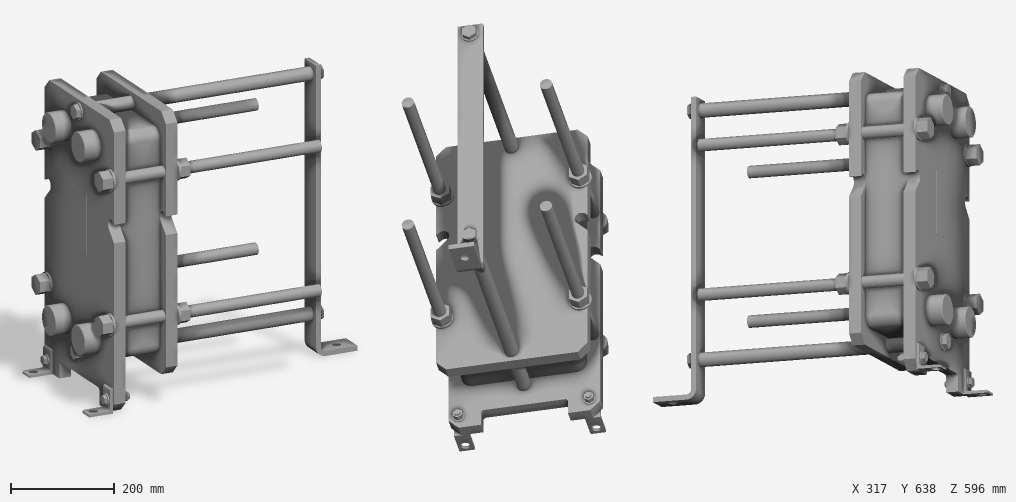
import cadquery as cq
import math


overall_depth = 638.0
overall_height = 596.0
column_back_overhang = 79.0

end_plate_width = 300.0
end_plate_thickness = 25.0
end_plate_chamfer = 20.0
pressure_plate_height = 537.0
fixed_plate_front_y = -268.5

leg_gap_width = 172.0
leg_gap_height = 34.5
leg_gap_fillet = 6.0

hook_radius = 13.0
hook_center_x = 136.5
hook_center_z = 381.0
hook_lip_drop = 6.5

channel_plate_count = 6
channel_stack_depth = 87.0
channel_plate_thickness = channel_stack_depth / channel_plate_count
channel_plate_width = 247.5
channel_plate_height = 462.0
channel_plate_fillet = 22.0

guide_bar_diameter = 28.0
guide_bar_offset_z = 245.5
guide_washer_diameter = 34.0
guide_washer_thickness = 3.0
guide_head_across_flats = 26.0
guide_head_height = 9.5

tie_diameter = 24.0
tie_x = 136.5
tie_offset_z = 147.5
tie_back_end_y = 180.5
tie_washer_diameter = 44.0
tie_hexagon_across_flats = 36.5
tie_washer_thickness = 4.5
tie_hexagon_height = 22.0

port_diameter = 60.5
port_length = 34.5
port_edge_chamfer = 1.0
port_x = 63.0
port_offset_z = 197.0
nameplate_width = 64.5
nameplate_height = 122.5
nameplate_center_z = 351.0
nameplate_thickness = 0.1

column_width = 50.0
column_thickness = 10.0
column_bend_radius = 20.5
mounting_hole_diameter = 18.0
column_hole_setback = 33.0

foot_width = 30.5
foot_x = 129.5
foot_height = 51.0
foot_thickness = 6.0
foot_toe_radius = 4.0
foot_inner_fillet = 4.5
foot_hole_setback = 16.0
foot_bolt_z = 25.5
foot_bolt_diameter = 12.0
foot_bolt_tip = 4.5
foot_washer_diameter = 24.0
foot_washer_thickness = 2.5
foot_head_across_flats = 17.0
foot_head_height = 6.5
foot_nut_height = 10.0

front_end_y = -overall_depth / 2
back_end_y = overall_depth / 2
half_plate_width = end_plate_width / 2
stack_center_z = overall_height - pressure_plate_height / 2
pressure_plate_bottom_z = overall_height - pressure_plate_height
fixed_plate_back_y = fixed_plate_front_y + end_plate_thickness
pressure_plate_front_y = fixed_plate_back_y + channel_stack_depth
pressure_plate_back_y = pressure_plate_front_y + end_plate_thickness
column_back_y = back_end_y - column_back_overhang
column_front_y = column_back_y - column_thickness

guide_bar_places = [(0, stack_center_z + side * guide_bar_offset_z) for side in (-1, 1)]
tie_places = [
    (side_x * tie_x, stack_center_z + side_z * tie_offset_z)
    for side_x in (-1, 1)
    for side_z in (-1, 1)
]
port_places = [
    (side_x * port_x, stack_center_z + side_z * port_offset_z)
    for side_x in (-1, 1)
    for side_z in (-1, 1)
]


def plane_at(y):
    """XZ plane at the given Y, with X right, Z up and its normal toward -Y."""
    return cq.Workplane("XZ", origin=(0, y, 0))


def cylinders(places, diameter, start_y, end_y):
    """Cylinders at the (x, z) places, from start_y to end_y."""
    return plane_at(start_y).pushPoints(places).circle(diameter / 2).extrude(start_y - end_y)


def hexagons(places, across_flats, start_y, end_y):
    """Hexagonal prisms with corners up and down, from start_y to end_y."""
    corner_radius = across_flats / math.sqrt(3)
    corners = [
        (corner_radius * math.sin(math.radians(60 * i)), corner_radius * math.cos(math.radians(60 * i)))
        for i in range(6)
    ]
    prisms = cq.Workplane("XZ")
    for x, z in places:
        outline = plane_at(start_y).center(x, z).polyline(corners).close()
        prisms = prisms.add(outline.extrude(start_y - end_y))
    return prisms


def washer_and_hexagon(places, face_y, direction, washer_size, washer_height, across_flats, height):
    """Washers on the face at face_y with a bolt head or nut on top; direction is -1 or 1 along Y."""
    washer_y = face_y + direction * washer_height
    washers = cylinders(places, washer_size, face_y, washer_y)
    heads = hexagons(places, across_flats, washer_y, washer_y + direction * height)
    return washers.add(heads)


def hook_notch(front_y):
    """Cutter for the hook notch in the -X edge: a round seat, a lip above and a 45 degree ramp below."""
    diagonal = hook_radius * math.sqrt(0.5)
    lip_rise = hook_radius - hook_lip_drop
    lip_reach = math.sqrt(hook_radius**2 - lip_rise**2)
    lip_z = hook_center_z + lip_rise
    outside_x = -half_plate_width - 6.5
    ramp_top_x = -hook_center_x + diagonal
    ramp_top_z = hook_center_z - diagonal
    ramp_bottom_z = ramp_top_z - (ramp_top_x - outside_x)
    return (
        plane_at(front_y)
        .moveTo(outside_x, lip_z)
        .lineTo(-hook_center_x - lip_reach, lip_z)
        .threePointArc((-hook_center_x + diagonal, hook_center_z + diagonal), (ramp_top_x, ramp_top_z))
        .lineTo(outside_x, ramp_bottom_z)
        .close()
        .extrude(-end_plate_thickness)
    )


def make_end_plate(front_y, bottom_z):
    """Chamfered plate from bottom_z to the top of the unit, with a hook notch in both long edges."""
    height = overall_height - bottom_z
    plate = (
        plane_at(front_y)
        .center(0, bottom_z + height / 2)
        .rect(end_plate_width, height)
        .extrude(-end_plate_thickness)
        .edges("|Y")
        .chamfer(end_plate_chamfer)
    )
    notch = hook_notch(front_y)
    return plate.cut(notch).cut(notch.mirror("YZ"))


def make_fixed_plate():
    """End plate that reaches the floor on two legs."""
    leg_gap = (
        plane_at(fixed_plate_front_y)
        .rect(leg_gap_width, 2 * leg_gap_height)
        .extrude(-end_plate_thickness)
        .edges("|Y")
        .fillet(leg_gap_fillet)
    )
    return make_end_plate(fixed_plate_front_y, 0).cut(leg_gap)


def make_pressure_plate():
    """End plate with close-fitting holes for the guide bars and tie bolts."""
    plate = make_end_plate(pressure_plate_front_y, pressure_plate_bottom_z)
    guide_holes = cylinders(
        guide_bar_places, guide_bar_diameter, pressure_plate_front_y, pressure_plate_back_y
    )
    tie_holes = cylinders(tie_places, tie_diameter, pressure_plate_front_y, pressure_plate_back_y)
    return plate.cut(guide_holes).cut(tie_holes)


def make_channel_plate(index):
    """One rounded channel plate, counted from the fixed plate backward."""
    return (
        plane_at(fixed_plate_back_y + index * channel_plate_thickness)
        .center(0, stack_center_z)
        .rect(channel_plate_width, channel_plate_height)
        .extrude(-channel_plate_thickness)
        .edges("|Y")
        .fillet(channel_plate_fillet)
    )


def make_column():
    """Flat bar standing behind the unit, bent backward into a foot with a mounting hole."""
    bend_inner_radius = column_bend_radius - column_thickness
    upright = (
        cq.Workplane("YZ", origin=(-column_width / 2, 0, 0))
        .moveTo(column_front_y, overall_height)
        .lineTo(column_front_y, column_bend_radius)
        .radiusArc((column_front_y + column_bend_radius, 0), -column_bend_radius)
        .lineTo(back_end_y, 0)
        .lineTo(back_end_y, column_thickness)
        .lineTo(column_front_y + column_bend_radius, column_thickness)
        .radiusArc((column_back_y, column_bend_radius), bend_inner_radius)
        .lineTo(column_back_y, overall_height)
        .close()
        .extrude(column_width)
    )
    hole = (
        cq.Workplane("XY", origin=(0, back_end_y - column_hole_setback, 0))
        .circle(mounting_hole_diameter / 2)
        .extrude(column_thickness)
    )
    return upright.cut(hole)


def make_guide_bars():
    """Bars from the fixed plate to the column, each with a washer and bolt head at both ends."""
    bars = cylinders(guide_bar_places, guide_bar_diameter, fixed_plate_back_y, column_front_y)
    for face_y, direction in ((fixed_plate_front_y, -1), (column_back_y, 1)):
        bars = bars.add(
            washer_and_hexagon(
                guide_bar_places, face_y, direction,
                guide_washer_diameter, guide_washer_thickness, guide_head_across_flats, guide_head_height,
            )
        )
    return bars


def make_tie_bolts():
    """Bolts with a head on the fixed plate and a nut behind the pressure plate."""
    bolts = cylinders(tie_places, tie_diameter, fixed_plate_back_y, tie_back_end_y)
    for face_y, direction in ((fixed_plate_front_y, -1), (pressure_plate_back_y, 1)):
        bolts = bolts.add(
            washer_and_hexagon(
                tie_places, face_y, direction,
                tie_washer_diameter, tie_washer_thickness, tie_hexagon_across_flats, tie_hexagon_height,
            )
        )
    return bolts


def make_ports():
    """Connection stubs with a chamfered rim on the front of the fixed plate."""
    stubs = cylinders(port_places, port_diameter, fixed_plate_front_y, fixed_plate_front_y - port_length)
    return stubs.faces("<Y").edges().chamfer(port_edge_chamfer)


def make_nameplate():
    """Thin rectangle on the front of the fixed plate."""
    return (
        plane_at(fixed_plate_front_y)
        .center(0, nameplate_center_z)
        .rect(nameplate_width, nameplate_height)
        .extrude(nameplate_thickness)
    )


def make_foot(center_x):
    """Angle bracket with rounded toes, bolted through one leg of the fixed plate."""
    leg_front_y = fixed_plate_front_y - foot_thickness
    toe_flat = foot_thickness - foot_toe_radius
    bracket = (
        cq.Workplane("YZ", origin=(center_x - foot_width / 2, 0, 0))
        .moveTo(fixed_plate_front_y, 0)
        .lineTo(fixed_plate_front_y, foot_height)
        .lineTo(fixed_plate_front_y - toe_flat, foot_height)
        .radiusArc((leg_front_y, foot_height - foot_toe_radius), -foot_toe_radius)
        .lineTo(leg_front_y, foot_thickness + foot_inner_fillet)
        .radiusArc((leg_front_y - foot_inner_fillet, foot_thickness), foot_inner_fillet)
        .lineTo(front_end_y + foot_toe_radius, foot_thickness)
        .radiusArc((front_end_y, toe_flat), -foot_toe_radius)
        .lineTo(front_end_y, 0)
        .close()
        .extrude(foot_width)
    )
    hole = (
        cq.Workplane("XY", origin=(center_x, front_end_y + foot_hole_setback, 0))
        .circle(mounting_hole_diameter / 2)
        .extrude(foot_thickness)
    )
    return bracket.cut(hole)


def make_foot_bolt(center_x):
    """Head in front of the foot, and a nut and the bolt's tip behind the fixed plate."""
    places = [(center_x, foot_bolt_z)]
    tip_y = fixed_plate_back_y + foot_washer_thickness + foot_nut_height + foot_bolt_tip
    bolt = cylinders(places, foot_bolt_diameter, fixed_plate_back_y, tip_y)
    for face_y, direction, height in (
        (fixed_plate_front_y - foot_thickness, -1, foot_head_height),
        (fixed_plate_back_y, 1, foot_nut_height),
    ):
        bolt = bolt.add(
            washer_and_hexagon(
                places, face_y, direction,
                foot_washer_diameter, foot_washer_thickness, foot_head_across_flats, height,
            )
        )
    return bolt


def make_frame():
    """The fixed plate and everything rigidly joined to it, as one solid."""
    parts = [make_column(), make_guide_bars(), make_tie_bolts(), make_ports(), make_nameplate()]
    for side in (-1, 1):
        parts.append(make_foot(side * foot_x))
        parts.append(make_foot_bolt(side * foot_x))
    solids = [solid for part in parts for solid in part.vals()]
    return cq.Workplane(make_fixed_plate().val().fuse(*solids))


frame = make_frame()
pressure_plate = make_pressure_plate()
channel_plates = [make_channel_plate(i).solids().val() for i in range(channel_plate_count)]

result = cq.Compound.makeCompound([frame.solids().val(), pressure_plate.solids().val(), *channel_plates])